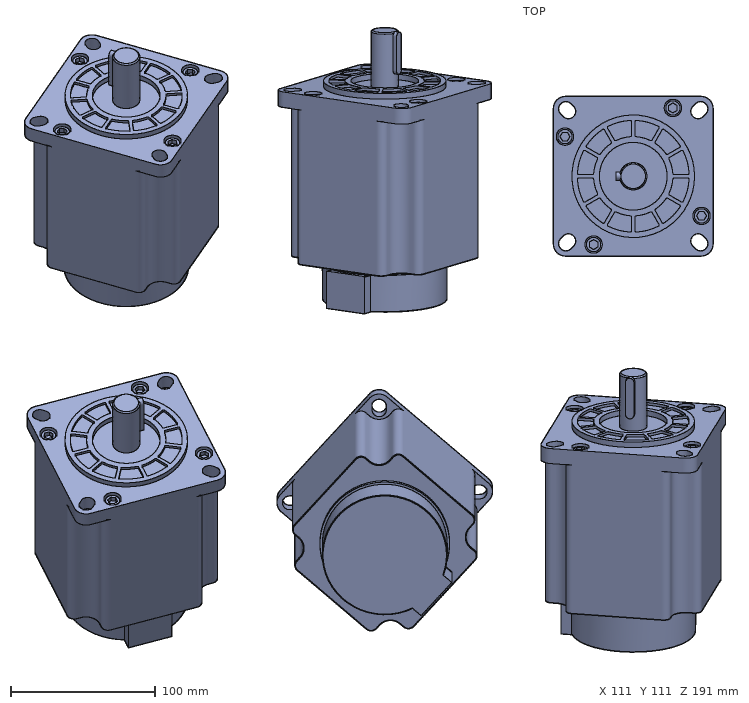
import cadquery as cq
import math

TOTAL_HEIGHT = 191.0
CAP_TOP = 26.5
COLLAR_TOP = 30.0
FLANGE_BOTTOM = 140.0
FLANGE_TOP = 151.0
PILOT_TOP = 155.0

WIDTH = 111.0
HALF_WIDTH = WIDTH / 2
FLANGE_CORNER_RADIUS = 8.5
CORNER_CENTER = HALF_WIDTH - FLANGE_CORNER_RADIUS
NOTCH_RADIUS = 9.7
NOTCH_WALL = CORNER_CENTER - NOTCH_RADIUS
SHOULDER_RADIUS = 5.2
BODY_BOTTOM_CHAMFER = 0.5

MOUNT_HOLE_OFFSET = 45.8
MOUNT_SLOT_WIDTH = 10.0
MOUNT_SLOT_LENGTH = 12.5
SCREW_NEAR_OFFSET = 27.5
SCREW_FAR_OFFSET = 47.4
COUNTERBORE_DIAMETER = 12.0
COUNTERBORE_DEPTH = 7.6
SCREW_HEAD_DIAMETER = 10.0
SCREW_HEAD_RECESS = 1.7
HEX_ACROSS_FLATS = 6.0
HEX_DEPTH = 3.5

PILOT_DIAMETER = 85.0
RECESS_DIAMETER = 47.0
RECESS_DEPTH = 4.0
POCKET_COUNT = 12
POCKET_INNER_RADIUS = 27.5
POCKET_OUTER_RADIUS = 38.8
POCKET_DEPTH = 2.0
POCKET_CORNER_RADIUS = 0.8
WEB_WIDTH = 2.5

SHAFT_DIAMETER = 19.0
SHAFT_CHAMFER = 1.0
KEY_WIDTH = 6.0
KEY_LENGTH = 30.0
KEY_REACH = 12.0

COLLAR_DIAMETER = 90.0
CAP_DIAMETER = 86.7
CAP_CHAMFER = 0.5
BLOCK_WIDTH = 32.0
BLOCK_REACH = 48.0
BLOCK_CHAMFER = 0.5


def cylinder(diameter, bottom, top):
    return cq.Workplane("XY").workplane(offset=bottom).circle(diameter / 2).extrude(top - bottom)


def corner_relief():
    """Space outside the body at the +X +Y corner: concave notch with rounded shoulders."""
    outside = HALF_WIDTH + SHOULDER_RADIUS
    face_end = NOTCH_WALL - SHOULDER_RADIUS
    shoulder_center = HALF_WIDTH - SHOULDER_RADIUS
    diagonal = math.sqrt(0.5)
    shoulder_near = face_end + SHOULDER_RADIUS * diagonal
    shoulder_far = shoulder_center + SHOULDER_RADIUS * diagonal
    notch_middle = CORNER_CENTER - NOTCH_RADIUS * diagonal
    return (
        cq.Workplane("XY")
        .workplane(offset=COLLAR_TOP)
        .moveTo(face_end, HALF_WIDTH)
        .threePointArc((shoulder_near, shoulder_far), (NOTCH_WALL, shoulder_center))
        .lineTo(NOTCH_WALL, CORNER_CENTER)
        .threePointArc((notch_middle, notch_middle), (CORNER_CENTER, NOTCH_WALL))
        .lineTo(shoulder_center, NOTCH_WALL)
        .threePointArc((shoulder_far, shoulder_near), (HALF_WIDTH, face_end))
        .lineTo(outside, face_end)
        .lineTo(outside, outside)
        .lineTo(face_end, outside)
        .close()
        .extrude(FLANGE_BOTTOM - COLLAR_TOP)
    )


def make_body():
    body = (
        cq.Workplane("XY")
        .workplane(offset=COLLAR_TOP)
        .rect(WIDTH, WIDTH)
        .extrude(FLANGE_BOTTOM - COLLAR_TOP)
    )
    relief = corner_relief()
    for corner in range(4):
        body = body.cut(relief.rotate((0, 0, 0), (0, 0, 1), 90 * corner))
    return body.faces("<Z").chamfer(BODY_BOTTOM_CHAMFER)


def make_flange():
    flange = (
        cq.Workplane("XY")
        .workplane(offset=FLANGE_BOTTOM)
        .rect(WIDTH, WIDTH)
        .extrude(FLANGE_TOP - FLANGE_BOTTOM)
        .edges("|Z")
        .fillet(FLANGE_CORNER_RADIUS)
    )
    mount_slot = (
        cq.Workplane("XY")
        .workplane(offset=FLANGE_BOTTOM)
        .center(MOUNT_HOLE_OFFSET, MOUNT_HOLE_OFFSET)
        .slot2D(MOUNT_SLOT_LENGTH, MOUNT_SLOT_WIDTH, 45)
        .extrude(FLANGE_TOP - FLANGE_BOTTOM)
    )
    for corner in range(4):
        flange = flange.cut(mount_slot.rotate((0, 0, 0), (0, 0, 1), 90 * corner))
    return flange


def screw_recess():
    """Space around and inside one sunken socket-head screw."""
    floor = FLANGE_TOP - COUNTERBORE_DEPTH
    head_top = FLANGE_TOP - SCREW_HEAD_RECESS
    bore = cylinder(COUNTERBORE_DIAMETER, floor, FLANGE_TOP)
    head = cylinder(SCREW_HEAD_DIAMETER, floor, head_top)
    hex_socket = (
        cq.Workplane("XY")
        .workplane(offset=head_top - HEX_DEPTH)
        .polygon(6, HEX_ACROSS_FLATS, circumscribed=True)
        .extrude(HEX_DEPTH)
    )
    return bore.cut(head.cut(hex_socket)).translate((SCREW_NEAR_OFFSET, SCREW_FAR_OFFSET, 0))


def pilot_pocket():
    """One ring-sector pocket beside the +X axis, bounded by webs of constant width."""
    sector_angle = 2 * math.pi / POCKET_COUNT
    half_web = WEB_WIDTH / 2

    def ring_point(radius, angle):
        return (radius * math.cos(angle), radius * math.sin(angle))

    inner_start = math.asin(half_web / POCKET_INNER_RADIUS)
    outer_start = math.asin(half_web / POCKET_OUTER_RADIUS)
    return (
        cq.Workplane("XY")
        .workplane(offset=PILOT_TOP - POCKET_DEPTH)
        .moveTo(*ring_point(POCKET_INNER_RADIUS, inner_start))
        .lineTo(*ring_point(POCKET_OUTER_RADIUS, outer_start))
        .threePointArc(
            ring_point(POCKET_OUTER_RADIUS, sector_angle / 2),
            ring_point(POCKET_OUTER_RADIUS, sector_angle - outer_start),
        )
        .lineTo(*ring_point(POCKET_INNER_RADIUS, sector_angle - inner_start))
        .threePointArc(
            ring_point(POCKET_INNER_RADIUS, sector_angle / 2),
            ring_point(POCKET_INNER_RADIUS, inner_start),
        )
        .close()
        .extrude(POCKET_DEPTH)
        .edges("|Z")
        .fillet(POCKET_CORNER_RADIUS)
    )


def make_shaft():
    shaft = cylinder(SHAFT_DIAMETER, FLANGE_BOTTOM, TOTAL_HEIGHT).faces(">Z").chamfer(SHAFT_CHAMFER)
    key = (
        cq.Workplane("YZ")
        .center(0, TOTAL_HEIGHT - KEY_LENGTH / 2)
        .slot2D(KEY_LENGTH, KEY_WIDTH, 90)
        .extrude(-KEY_REACH)
    )
    return shaft.union(key)


def make_rear():
    collar = cylinder(COLLAR_DIAMETER, CAP_TOP, COLLAR_TOP)
    cap = cylinder(CAP_DIAMETER, 0, CAP_TOP).faces("<Z").chamfer(CAP_CHAMFER)
    block = (
        cq.Workplane("XY")
        .center(0, BLOCK_REACH / 2)
        .rect(BLOCK_WIDTH, BLOCK_REACH)
        .extrude(CAP_TOP)
        .edges("|Y and >Z")
        .chamfer(BLOCK_CHAMFER)
    )
    return collar.union(cap).union(block)


housing = make_body().union(make_flange()).union(cylinder(PILOT_DIAMETER, FLANGE_TOP, PILOT_TOP))

screw = screw_recess()
for index in range(4):
    housing = housing.cut(screw.rotate((0, 0, 0), (0, 0, 1), 90 * index))

pocket = pilot_pocket()
for index in range(POCKET_COUNT):
    housing = housing.cut(pocket.rotate((0, 0, 0), (0, 0, 1), index * 360 / POCKET_COUNT))

housing = housing.cut(cylinder(RECESS_DIAMETER, PILOT_TOP - RECESS_DEPTH, PILOT_TOP))

result = housing.union(make_shaft()).union(make_rear())